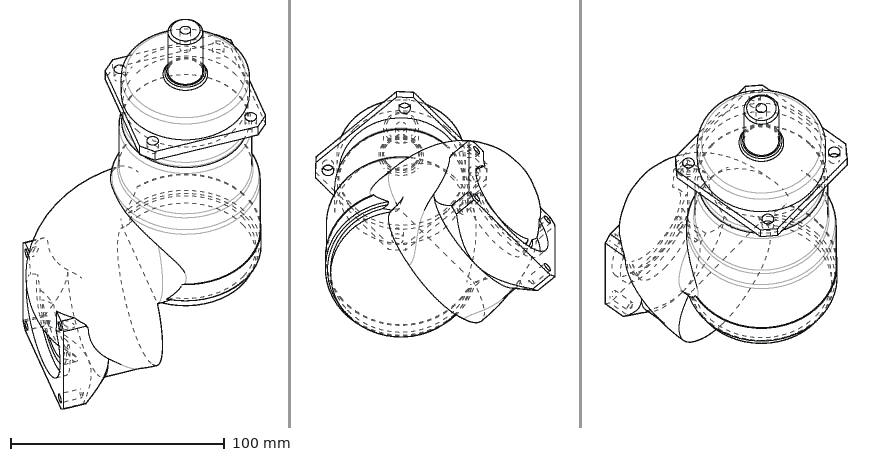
import cadquery as cq
import math

SHAFT_TOP = 208.7
COLLAR_TOP = 180.3
COLLAR_BEVEL = 180.0
PILOT_TOP = 178.6
PLATE_TOP = 165.7
PLATE_BOTTOM = 159.9
NECK_BOTTOM = 149.5
NECK_FLARE_BOTTOM = 147.1
RIM_TOP = 146.5
RIM_BOTTOM = 143.8
SHOULDER_TOP = 116.2
SHOULDER_CONE_TOP = 114.2
SHOULDER_CONE_BOTTOM = 109.0
SHOULDER_BOTTOM = 106.5
BAND_TOP = 72.5
BAND_BOTTOM = 61.4
HOUSING_BOTTOM = 55.3

SHAFT_RADIUS = 8.1
COLLAR_TOP_RADIUS = 8.8
COLLAR_BEVEL_RADIUS = 9.5
COLLAR_BASE_RADIUS = 10.5
PILOT_RADIUS = 30.0
NECK_RADIUS = 29.2
NECK_FLARE_RADIUS = 29.6
RIM_INNER_RADIUS = 29.8
SLEEVE_RADIUS = 31.0
SHOULDER_CONE_TOP_RADIUS = 31.7
SHOULDER_CONE_BOTTOM_RADIUS = 34.5
HOUSING_RADIUS = 35.0
BAND_RADIUS = 35.5
FOOT_RADIUS = 33.0

SHAFT_CHAMFER = 1.3
PILOT_ROUNDING = 2.0
BAND_CHAMFER = 1.0

SHAFT_HOLE_RADIUS = 2.5
SHAFT_HOLE_DEPTH = 12.5

PLATE_SIDE = 62.2
PLATE_CORNER = 5.6
PLATE_HOLE_RADIUS = 2.7
PLATE_HOLE_OFFSET = 24.2

ELBOW_RADIUS = 33.4
ELBOW_BEND_RADIUS = 21.0
ELBOW_AXIS_Y = -22.3
ELBOW_AXIS_Z = HOUSING_BOTTOM

FLANGE_SIDE = 60.1
FLANGE_CORNER = 3.5
FLANGE_BACK_Y = -48.0
FLANGE_FACE_Y = -70.1
FLANGE_DEPTH = FLANGE_BACK_Y - FLANGE_FACE_Y
FLANGE_AXIS_Z = FLANGE_SIDE / 2
OUTLET_RADIUS = FLANGE_SIDE / 2
CONE_HALF_ANGLE = 42.0
FLANGE_HOLE_RADIUS = 2.0
FLANGE_HOLE_OFFSET = 24.6
FLANGE_HOLE_DEPTH = 10.5

RECESS_RADIUS = 25.0
RECESS_DEPTH = 5.0
GROOVE_RADIUS = 19.8
GROOVE_DEPTH = 6.3
HUB_TOP_RADIUS = 16.7

DRILL_POINT_ANGLE = 118.0


def drill(radius, depth):
    """Blind hole along -Z from the origin, ending in a drill point."""
    point = radius / math.tan(math.radians(DRILL_POINT_ANGLE / 2))
    profile = [(0, 0), (radius, 0), (radius, -depth), (0, -depth - point)]
    return cq.Workplane("XZ").polyline(profile).close().revolve(360, (0, 0), (0, 1))


def corner_points(offset):
    """Four points of a centred square, each offset from its two centre lines."""
    return [(sx * offset, sy * offset) for sx in (-1, 1) for sy in (-1, 1)]


def turned_body():
    """Shaft, pilot, neck, sleeve and housing as one revolved profile."""
    return (
        cq.Workplane("XZ")
        .moveTo(0, HOUSING_BOTTOM)
        .lineTo(FOOT_RADIUS, HOUSING_BOTTOM)
        .lineTo(FOOT_RADIUS, BAND_BOTTOM - BAND_CHAMFER)
        .lineTo(BAND_RADIUS - BAND_CHAMFER, BAND_BOTTOM - BAND_CHAMFER)
        .lineTo(BAND_RADIUS, BAND_BOTTOM)
        .lineTo(BAND_RADIUS, BAND_TOP)
        .lineTo(HOUSING_RADIUS, BAND_TOP)
        .lineTo(HOUSING_RADIUS, SHOULDER_BOTTOM)
        .tangentArcPoint((SHOULDER_CONE_BOTTOM_RADIUS, SHOULDER_CONE_BOTTOM), relative=False)
        .lineTo(SHOULDER_CONE_TOP_RADIUS, SHOULDER_CONE_TOP)
        .tangentArcPoint((SLEEVE_RADIUS, SHOULDER_TOP), relative=False)
        .lineTo(SLEEVE_RADIUS, RIM_BOTTOM)
        .tangentArcPoint((RIM_INNER_RADIUS, RIM_TOP), relative=False)
        .lineTo(NECK_FLARE_RADIUS, NECK_FLARE_BOTTOM)
        .tangentArcPoint((NECK_RADIUS, NECK_BOTTOM), relative=False)
        .lineTo(NECK_RADIUS, PLATE_TOP)
        .lineTo(PILOT_RADIUS, PLATE_TOP)
        .lineTo(PILOT_RADIUS, PILOT_TOP - PILOT_ROUNDING)
        .tangentArcPoint((PILOT_RADIUS - PILOT_ROUNDING, PILOT_TOP), relative=False)
        .lineTo(COLLAR_BASE_RADIUS, PILOT_TOP)
        .lineTo(COLLAR_BEVEL_RADIUS, COLLAR_BEVEL)
        .lineTo(COLLAR_TOP_RADIUS, COLLAR_TOP)
        .lineTo(SHAFT_RADIUS, COLLAR_TOP)
        .lineTo(SHAFT_RADIUS, SHAFT_TOP - SHAFT_CHAMFER)
        .lineTo(SHAFT_RADIUS - SHAFT_CHAMFER, SHAFT_TOP)
        .lineTo(0, SHAFT_TOP)
        .close()
        .revolve(360, (0, 0), (0, 1))
    )


def output_plate():
    """Square plate with cut corners and four through holes."""
    return (
        cq.Workplane("XY", origin=(0, 0, PLATE_BOTTOM))
        .rect(PLATE_SIDE, PLATE_SIDE)
        .extrude(PLATE_TOP - PLATE_BOTTOM)
        .edges("|Z")
        .chamfer(PLATE_CORNER)
        .faces(">Z")
        .workplane()
        .pushPoints(corner_points(PLATE_HOLE_OFFSET))
        .hole(2 * PLATE_HOLE_RADIUS)
    )


def elbow_section(side):
    """Elbow section in the vertical plane of the bend axis; side is +1 above it, -1 below it."""
    half_chord = math.sqrt(ELBOW_RADIUS**2 - ELBOW_BEND_RADIUS**2)
    return (
        cq.Workplane("XZ", origin=(0, ELBOW_AXIS_Y, ELBOW_AXIS_Z))
        .moveTo(-half_chord, 0)
        .threePointArc((0, side * (ELBOW_BEND_RADIUS + ELBOW_RADIUS)), (half_chord, 0))
        .close()
    )


def elbow():
    """Half-turn bend, continued straight to the main axis at its upper end."""
    bend = elbow_section(-1).revolve(180, (2, 0), (0, 0))
    inlet = elbow_section(1).extrude(ELBOW_AXIS_Y)
    return bend.union(inlet)


def flange_plane(y):
    """Upright plane at y, centred on the flange axis; extruding goes toward -Y."""
    return cq.Workplane("XZ", origin=(0, y, FLANGE_AXIS_Z))


def input_flange():
    """Round outlet growing into a square flange with a recess, a ring groove and blind holes."""
    block = (
        flange_plane(FLANGE_BACK_Y)
        .rect(FLANGE_SIDE, FLANGE_SIDE)
        .extrude(FLANGE_DEPTH)
        .edges("|Y")
        .chamfer(FLANGE_CORNER)
    )
    outlet_length = ELBOW_AXIS_Y - FLANGE_BACK_Y
    cone = flange_plane(FLANGE_BACK_Y).circle(OUTLET_RADIUS).extrude(FLANGE_DEPTH, taper=-CONE_HALF_ANGLE)
    outlet = flange_plane(ELBOW_AXIS_Y).circle(OUTLET_RADIUS).extrude(outlet_length)
    flange = block.intersect(cone).union(outlet)

    recess = flange_plane(FLANGE_FACE_Y).circle(RECESS_RADIUS).extrude(-RECESS_DEPTH)
    floor_y = FLANGE_FACE_Y + RECESS_DEPTH
    groove = flange_plane(floor_y).circle(GROOVE_RADIUS).extrude(-GROOVE_DEPTH)
    hub_profile = [(0, 0), (HUB_TOP_RADIUS, 0), (GROOVE_RADIUS, GROOVE_DEPTH), (0, GROOVE_DEPTH)]
    hub_plane = cq.Workplane("XY", origin=(0, floor_y, FLANGE_AXIS_Z))
    hub = hub_plane.polyline(hub_profile).close().revolve(360, (0, 0), (0, 1))
    flange = flange.cut(recess).cut(groove.cut(hub))

    hole = drill(FLANGE_HOLE_RADIUS, FLANGE_HOLE_DEPTH).rotate((0, 0, 0), (1, 0, 0), 90)
    for x, z in corner_points(FLANGE_HOLE_OFFSET):
        flange = flange.cut(hole.translate((x, FLANGE_FACE_Y, FLANGE_AXIS_Z + z)))
    return flange


shaft_hole = drill(SHAFT_HOLE_RADIUS, SHAFT_HOLE_DEPTH).translate((0, 0, SHAFT_TOP))

result = turned_body().union(output_plate()).union(input_flange()).union(elbow()).cut(shaft_hole)